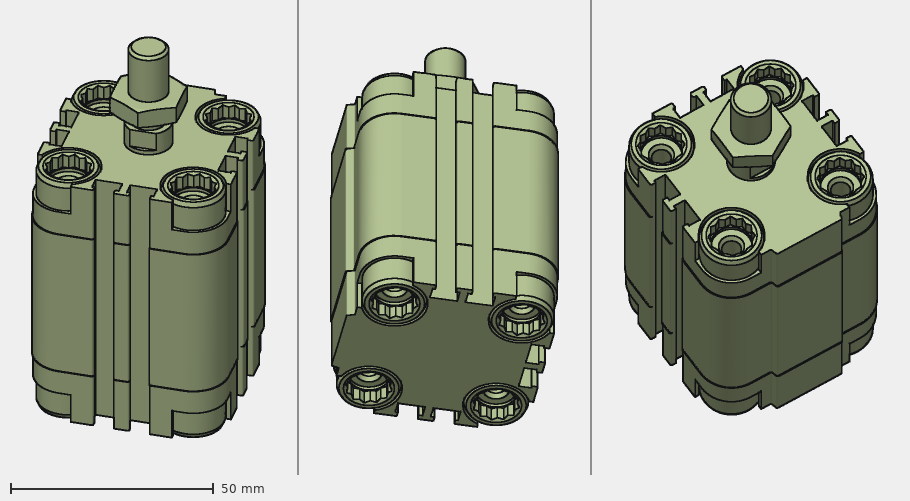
import cadquery as cq
import math

HOUSING_WIDTH = 50.0
HALF_WIDTH = HOUSING_WIDTH / 2
CORNER_RADIUS = 9.0
RIB_HEIGHT = 1.95
RIB_TOP_WIDTH = 19.1
RIB_BASE_WIDTH = 20.1
RIB_ROUNDING = 0.5

SLOT_DEPTH = 5.0
LIP_THICKNESS = 1.8
WEB_WIDTH = 2.0
HEAD_WIDTH = 4.0
OPENING_END = 7.2
SLOT_END = 7.9
HEAD_ROUNDING = 0.5
LIP_ROUNDING = 0.4
EDGE_REACH = 0.1

OVERALL_HEIGHT = 97.5
HOUSING_HEIGHT = 69.5
CAP_HEIGHT = 14.5
CAP_INSET = 0.24

SCREW_SPACING = 32.0
SCREW_POSITION = SCREW_SPACING / 2
BOSS_DIAMETER = 16.0
BOSS_BORE_DIAMETER = 16.4
BOSS_TOP_DIAMETER = 14.8
BOSS_CHAMFER_HEIGHT = 1.3
POCKET_DEPTH = 8.0
POCKET_START = 13.0

SOCKET_ACROSS_FLATS = 10.0
SOCKET_MOUTH_DIAMETER = 12.6
SOCKET_MOUTH_DEPTH = 0.7
SOCKET_STAR_DEPTH = 4.0
SOCKET_DEPTH = 5.0
SOCKET_FLOOR_DIAMETER = 10.1
SCREW_HOLE_DIAMETER = 4.9
SCREW_HOLE_MOUTH_DIAMETER = 6.3
SCREW_HOLE_MOUTH_DEPTH = 1.3

ROD_DIAMETER = 12.0
ROD_BASE_HEIGHT = 6.0
ROD_FLATS_WIDTH = 9.9
ROD_FLATS_START = 1.2
NECK_DIAMETER = 8.5
NECK_TOP = 7.7
THREAD_START = 8.7
THREAD_DIAMETER = 10.0
THREAD_CHAMFER = 0.8

NUT_ACROSS_FLATS = 17.0
NUT_THICKNESS = 5.0
NUT_GAP = 9.9
NUT_FACE_DIAMETER = 16.7
NUT_CHAMFER_ANGLE = 12.0


def side_slots():
    """Cutter for the two T-slots of the -Y side, over the whole height."""
    outside = -HALF_WIDTH - RIB_HEIGHT
    lip = -HALF_WIDTH + LIP_THICKNESS
    floor = -HALF_WIDTH + SLOT_DEPTH
    slot = (
        cq.Workplane("XY")
        .polyline(
            [
                (HEAD_WIDTH / 2, outside),
                (OPENING_END, outside),
                (OPENING_END, lip),
                (SLOT_END, lip),
                (SLOT_END, floor),
                (WEB_WIDTH / 2, floor),
                (WEB_WIDTH / 2, lip),
                (HEAD_WIDTH / 2, lip),
            ]
        )
        .close()
        .extrude(HOUSING_HEIGHT)
    )
    return slot.union(slot.mirror("YZ"))


def round_upright_edges(body, x, y, radius):
    """Fillet the mirrored pair of upright edges at (x, y) and (-x, y)."""
    for edge_x in (x, -x):
        near_edge = cq.selectors.BoxSelector(
            (edge_x - EDGE_REACH, y - EDGE_REACH, 0),
            (edge_x + EDGE_REACH, y + EDGE_REACH, HOUSING_HEIGHT),
        )
        body = body.edges("|Z").edges(near_edge).fillet(radius)
    return body


def plain_section(inset):
    """Square section with round corners and the back rib, its outer faces set inward by inset."""
    half_width = HALF_WIDTH - inset
    rib_top = half_width + RIB_HEIGHT
    body = cq.Workplane("XY").rect(2 * half_width, 2 * half_width).extrude(HOUSING_HEIGHT)
    body = body.edges("|Z").fillet(CORNER_RADIUS - inset)
    rib = (
        cq.Workplane("XY")
        .polyline(
            [
                (-RIB_BASE_WIDTH / 2, 0),
                (-RIB_BASE_WIDTH / 2, half_width),
                (-RIB_TOP_WIDTH / 2, rib_top),
                (RIB_TOP_WIDTH / 2, rib_top),
                (RIB_BASE_WIDTH / 2, half_width),
                (RIB_BASE_WIDTH / 2, 0),
            ]
        )
        .close()
        .extrude(HOUSING_HEIGHT)
    )
    body = round_upright_edges(body.union(rib), RIB_TOP_WIDTH / 2, rib_top, RIB_ROUNDING)
    return round_upright_edges(body, RIB_BASE_WIDTH / 2, half_width, RIB_ROUNDING)


def slotted_section(inset):
    """Section over the whole height with the slots of three sides and their rounded edges."""
    body = plain_section(inset)
    face = -HALF_WIDTH + inset
    lip = -HALF_WIDTH + LIP_THICKNESS
    for angle in (-90, 90, 0):
        body = body.rotate((0, 0, 0), (0, 0, 1), -angle)
        body = body.cut(side_slots())
        body = round_upright_edges(body, OPENING_END, face, LIP_ROUNDING)
        if angle == 0:
            body = round_upright_edges(body, HEAD_WIDTH / 2, lip, HEAD_ROUNDING)
            body = round_upright_edges(body, HEAD_WIDTH / 2, face, HEAD_ROUNDING)
        else:
            body = round_upright_edges(body, HEAD_WIDTH / 2, face, LIP_ROUNDING)
        body = body.rotate((0, 0, 0), (0, 0, 1), angle)
    return body


def stepped_body():
    """Barrel with an end cap at each end whose outer faces are set slightly inward."""
    middle = (
        cq.Workplane("XY", origin=(0, 0, CAP_HEIGHT))
        .rect(2 * HOUSING_WIDTH, 2 * HOUSING_WIDTH)
        .extrude(HOUSING_HEIGHT - 2 * CAP_HEIGHT)
    )
    barrel = slotted_section(0).intersect(middle)
    return slotted_section(CAP_INSET).union(barrel)


def frustum(bottom_diameter, top_diameter, height, base_z):
    """Cone frustum standing on base_z on the Z axis."""
    return cq.Workplane(
        cq.Solid.makeCone(bottom_diameter / 2, top_diameter / 2, height, cq.Vector(0, 0, base_z))
    )


def cylinder(diameter, height, base_z):
    """Cylinder standing on base_z on the Z axis."""
    return cq.Workplane("XY", origin=(0, 0, base_z)).circle(diameter / 2).extrude(height)


def corner_cutter():
    """Cutter for one end of a (+X, +Y) corner, with the boss axis on Z and the end face at z = 0."""
    pocket_offset = POCKET_START - SCREW_POSITION
    pocket = (
        cq.Workplane("XY", origin=(pocket_offset, pocket_offset, -POCKET_DEPTH))
        .rect(HOUSING_WIDTH, HOUSING_WIDTH, centered=False)
        .extrude(POCKET_DEPTH)
    )
    bore = cylinder(BOSS_BORE_DIAMETER, POCKET_DEPTH, -POCKET_DEPTH)
    boss = cylinder(BOSS_DIAMETER, POCKET_DEPTH - BOSS_CHAMFER_HEIGHT, -POCKET_DEPTH).union(
        frustum(BOSS_DIAMETER, BOSS_TOP_DIAMETER, BOSS_CHAMFER_HEIGHT, -BOSS_CHAMFER_HEIGHT)
    )
    return pocket.union(bore).cut(boss).union(socket())


def socket():
    """Cutter for one screw socket, open at z = 0, down to its countersunk hole."""
    across_corners = SOCKET_ACROSS_FLATS / math.cos(math.pi / 6)
    hexagon = cq.Workplane("XY").polygon(6, across_corners).extrude(-SOCKET_STAR_DEPTH)
    star = hexagon.union(hexagon.rotate((0, 0, 0), (0, 0, 1), 30))
    mouth = frustum(SOCKET_ACROSS_FLATS, SOCKET_MOUTH_DIAMETER, SOCKET_MOUTH_DEPTH, -SOCKET_MOUTH_DEPTH)
    floor_recess = cylinder(SOCKET_FLOOR_DIAMETER, SOCKET_DEPTH - SOCKET_STAR_DEPTH, -SOCKET_DEPTH)
    hole_mouth = frustum(
        SCREW_HOLE_DIAMETER,
        SCREW_HOLE_MOUTH_DIAMETER,
        SCREW_HOLE_MOUTH_DEPTH,
        -SOCKET_DEPTH - SCREW_HOLE_MOUTH_DEPTH,
    )
    return star.union(mouth).union(floor_recess).union(hole_mouth)


def make_housing():
    """Housing: barrel, caps, and a screw boss at both ends of each corner."""
    body = stepped_body()
    corner = corner_cutter().translate((SCREW_POSITION, SCREW_POSITION, HOUSING_HEIGHT))
    corner = corner.union(corner.mirror("XY", (0, 0, HOUSING_HEIGHT / 2)))
    hole = cylinder(SCREW_HOLE_DIAMETER, HOUSING_HEIGHT, 0).translate((SCREW_POSITION, SCREW_POSITION, 0))
    right_corner = corner.union(hole)
    left_corner = right_corner.mirror("YZ")
    for corner_tool in (right_corner, left_corner):
        body = body.cut(corner_tool).cut(corner_tool.mirror("XZ"))
    return body


def make_rod():
    """Piston rod standing on the housing: flatted base, neck and chamfered thread."""
    length = OVERALL_HEIGHT - HOUSING_HEIGHT
    neck_radius = NECK_DIAMETER / 2
    thread_radius = THREAD_DIAMETER / 2
    rod = (
        cq.Workplane("XZ")
        .polyline(
            [
                (0, 0),
                (ROD_DIAMETER / 2, 0),
                (ROD_DIAMETER / 2, ROD_BASE_HEIGHT),
                (neck_radius, ROD_BASE_HEIGHT),
                (neck_radius, NECK_TOP),
                (thread_radius, THREAD_START),
                (thread_radius, length - THREAD_CHAMFER),
                (thread_radius - THREAD_CHAMFER, length),
                (0, length),
            ]
        )
        .close()
        .revolve(360, (0, 0), (0, 1))
    )
    flats = (
        cq.Workplane("XY", origin=(0, 0, ROD_FLATS_START))
        .rect(2 * ROD_DIAMETER, 2 * ROD_DIAMETER)
        .rect(2 * ROD_DIAMETER, ROD_FLATS_WIDTH)
        .extrude(ROD_BASE_HEIGHT - ROD_FLATS_START)
    )
    return rod.cut(flats).translate((0, 0, HOUSING_HEIGHT))


def make_nut():
    """Hexagon nut with a flat facing each way along X, chamfered on both faces."""
    across_corners = NUT_ACROSS_FLATS / math.cos(math.pi / 6)
    nut = cq.Workplane("XY").polygon(6, across_corners).extrude(NUT_THICKNESS)
    nut = nut.rotate((0, 0, 0), (0, 0, 1), 30)
    corner_drop = (across_corners - NUT_FACE_DIAMETER) / 2 * math.tan(math.radians(NUT_CHAMFER_ANGLE))
    face_radius = NUT_FACE_DIAMETER / 2
    chamfered_disc = (
        cq.Workplane("XZ")
        .polyline(
            [
                (0, 0),
                (face_radius, 0),
                (across_corners / 2, corner_drop),
                (across_corners / 2, NUT_THICKNESS - corner_drop),
                (face_radius, NUT_THICKNESS),
                (0, NUT_THICKNESS),
            ]
        )
        .close()
        .revolve(360, (0, 0), (0, 1))
    )
    nut = nut.intersect(chamfered_disc).cut(cylinder(THREAD_DIAMETER, NUT_THICKNESS, 0))
    return nut.translate((0, 0, HOUSING_HEIGHT + NUT_GAP))


housing = make_housing()
rod = make_rod()
nut = make_nut()
result = cq.Compound.makeCompound([housing.val(), rod.val(), nut.val()])